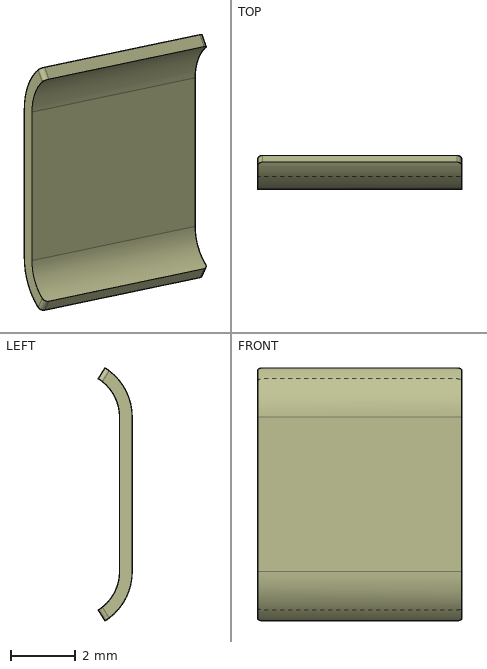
import cadquery as cq
import math

width = 6.35
height = 7.87
thickness = 0.4
outer_radius = 1.8
flat_height = 4.81
corner_radius = 0.16
depth = 1.06

inner_radius = outer_radius - thickness
half_flat = flat_height / 2
bend_angle = math.asin((height - flat_height) / 2 / outer_radius)


def bend_point(radius, angle, side):
    """(Y, Z) point on a bend; side is +1 for the top and -1 for the bottom."""
    y = outer_radius - radius * math.cos(angle)
    z = side * (half_flat + radius * math.sin(angle))
    return y - depth / 2, z


def bend_arc(profile, radius, start, end, side):
    """Add one bend arc between two angles to the profile."""
    middle = bend_point(radius, (start + end) / 2, side)
    return profile.threePointArc(middle, bend_point(radius, end, side))


profile = cq.Workplane("YZ").moveTo(*bend_point(outer_radius, 0, -1))
profile = profile.lineTo(*bend_point(outer_radius, 0, 1))
profile = bend_arc(profile, outer_radius, 0, bend_angle, 1)
profile = profile.lineTo(*bend_point(inner_radius, bend_angle, 1))
profile = bend_arc(profile, inner_radius, bend_angle, 0, 1)
profile = profile.lineTo(*bend_point(inner_radius, 0, -1))
profile = bend_arc(profile, inner_radius, 0, bend_angle, -1)
profile = profile.lineTo(*bend_point(outer_radius, bend_angle, -1))
profile = bend_arc(profile, outer_radius, bend_angle, 0, -1).close()
sheet = profile.extrude(width / 2, both=True)

for side in (1, -1):
    tip_direction = cq.Vector(0, -math.cos(bend_angle), side * math.sin(bend_angle))
    sheet = sheet.edges(cq.selectors.ParallelDirSelector(tip_direction)).fillet(corner_radius)

result = sheet